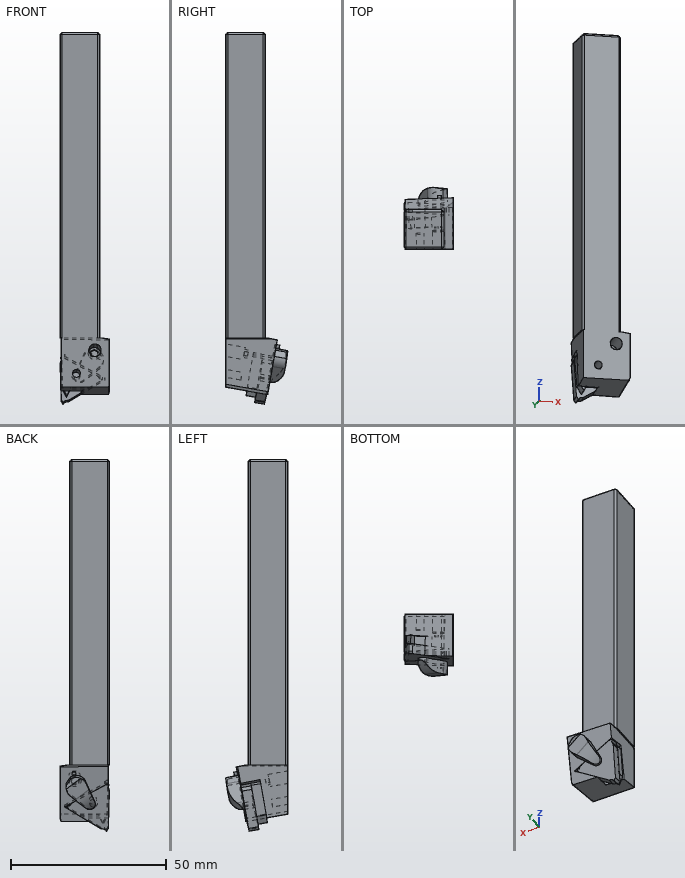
import cadquery as cq
import math

TOTAL_LENGTH = 119.3

SHANK_SIDE = 12.8
SHANK_CHAMFER = 0.7

HEAD_LEFT = 0.4
HEAD_RIGHT = 15.9
HEAD_BOTTOM = 5.5
HEAD_TOP = 21.3
LEDGE = 0.4
BOTTOM_CHAMFER_ACROSS = 1.0
BOTTOM_CHAMFER_UP = 0.4
TRIM_SIDE = 119.3
HEAD_BLOCK_DEPTH = 21.5
SHOULDER_SLOPE_X = 8.5
SHOULDER_SLOPE_Y = 11.0

SEAT_LEAN = 10.0
SEAT_TWIST = 2.0
SEAT_TURN = 1.2
TIP_X = 0.4
TIP_Y = 12.4

INSERT_SIDE = 16.5
INSERT_THICKNESS = 3.2
INSERT_DROP = 0.6
TOOTH_OFFSET = 0.6
TOOTH_ROOT = 1.2
TOOTH_HEIGHT = 0.6
TOOTH_SHOULDER = 1.5
FLAT_END = 2.4

SHIM_THICKNESS = 3.1
POCKET_DEPTH = INSERT_THICKNESS + SHIM_THICKNESS
POCKET_OVERRUN = 1.2
SHIM_TOP_CUT = 1.1
SHIM_SETBACK = 0.4
SHIM_POINT_UP = 1.7
SHIM_POINT_ACROSS = 1.7
SHIM_POINT_HEIGHT = 2.6

SCREW_UP = 14.7
SCREW_ACROSS = 10.7
SCREW_HOLE_DIAMETER = 3.9
SCREW_HOLE_FLOOR = 9.5
SOCKET_DIAMETER = 2.6
SOCKET_DEPTH = 1.2
SHIM_HOLE_DIAMETER = 2.5
SHIM_HOLE_FLOOR = 9.0
SHIM_HOLE_UP = 7.5
SHIM_HOLE_ACROSS = 4.7
HOLE_REACH = 35.8

CLAMP_RADIUS = 3.3
CLAMP_NOSE_RADIUS = 1.7
CLAMP_NOSE_UP = 8.8
CLAMP_NOSE_ACROSS = 6.1
CLAMP_HEIGHT = 4.2
CLAMP_TAIL_DROP = 0.6
CLAMP_NOSE_HEIGHT = 0.7
CLAMP_BROW_REACH = 6.5
CLAMP_BROW_HEIGHT = 3.1
CLAMP_FLAT_OFFSET = 3.1
CLAMP_FLAT_TURN = 57.0

PIN_DIAMETER = 1.3
PIN_UP = 18.6
PIN_ACROSS = 11.6
PIN_HEIGHT = 1.2

seat = cq.Plane(origin=(TIP_X, TIP_Y, 0), xDir=(0, 0, 1), normal=(0, 1, 0))
seat = seat.rotated((SEAT_TWIST, -SEAT_LEAN, -SEAT_TURN))

TRIANGLE_SLOPE = math.tan(math.radians(30))
TRIANGLE_CENTRE = (INSERT_SIDE / 2 - INSERT_DROP, INSERT_SIDE / 2 * TRIANGLE_SLOPE)
TRIANGLE_RIGHT = (TRIANGLE_CENTRE[0], 3 * TRIANGLE_CENTRE[1])


def seat_at(height):
    """Workplane parallel to the rake face at a height above it."""
    return cq.Workplane(seat).workplane(offset=height)


def turned(point, degrees):
    """Turn a seat-plane point about the centre of the triangle."""
    angle = math.radians(degrees)
    up = point[0] - TRIANGLE_CENTRE[0]
    across = point[1] - TRIANGLE_CENTRE[1]
    return (
        TRIANGLE_CENTRE[0] + up * math.cos(angle) - across * math.sin(angle),
        TRIANGLE_CENTRE[1] + up * math.sin(angle) + across * math.cos(angle),
    )


def lower_edge(across):
    """Height of the insert's lower edge at a distance across."""
    return across * TRIANGLE_SLOPE - INSERT_DROP


def upper_edge(across):
    """Height of the pocket's upper wall at a distance across."""
    return INSERT_SIDE - INSERT_DROP - across * TRIANGLE_SLOPE


def make_pocket():
    """Triangular pocket for insert and shim, open beyond the left side of the head."""
    outline = [
        (lower_edge(-POCKET_OVERRUN), -POCKET_OVERRUN),
        (upper_edge(-POCKET_OVERRUN), -POCKET_OVERRUN),
        TRIANGLE_RIGHT,
    ]
    return seat_at(-POCKET_DEPTH).polyline(outline).close().extrude(POCKET_DEPTH)


def make_shank():
    shank = cq.Workplane("XY").workplane(offset=HEAD_TOP)
    shank = shank.rect(SHANK_SIDE, SHANK_SIDE, centered=False).extrude(TOTAL_LENGTH - HEAD_TOP)
    return shank.edges("|Z or >Z").chamfer(SHANK_CHAMFER)


def make_head_block():
    """Head before machining: sloping bottom and two sloping shoulders."""
    ledge_end = SHANK_SIDE + LEDGE
    bottom_drop = HEAD_BLOCK_DEPTH * math.tan(math.radians(SEAT_LEAN))
    drop_y = (HEAD_BLOCK_DEPTH - ledge_end) * math.tan(math.radians(SHOULDER_SLOPE_Y))
    drop_x = (HEAD_RIGHT - ledge_end) * math.tan(math.radians(SHOULDER_SLOPE_X))
    side_profile = (
        cq.Workplane("YZ", origin=(HEAD_LEFT, 0, 0))
        .polyline([
            (0, HEAD_BOTTOM),
            (HEAD_BLOCK_DEPTH, HEAD_BOTTOM - bottom_drop),
            (HEAD_BLOCK_DEPTH, HEAD_TOP - drop_y),
            (ledge_end, HEAD_TOP),
            (0, HEAD_TOP),
        ])
        .close()
        .extrude(HEAD_RIGHT - HEAD_LEFT)
    )
    front_profile = (
        cq.Workplane("XZ")
        .polyline([
            (HEAD_LEFT, 0),
            (HEAD_RIGHT, 0),
            (HEAD_RIGHT, HEAD_TOP - drop_x),
            (ledge_end, HEAD_TOP),
            (HEAD_LEFT, HEAD_TOP),
        ])
        .close()
        .extrude(-HEAD_BLOCK_DEPTH)
    )
    head = side_profile.intersect(front_profile)
    bottom_right = head.faces(">X").edges("<Z").val()
    return head.newObject([head.val().chamfer(BOTTOM_CHAMFER_UP, BOTTOM_CHAMFER_ACROSS, [bottom_right])])


def make_insert():
    """Triangular threading insert with a tooth on each corner."""
    corner_profile = [
        (lower_edge(FLAT_END), FLAT_END),
        (TOOTH_HEIGHT, TOOTH_ROOT),
        (0, TOOTH_OFFSET),
        (TOOTH_SHOULDER - INSERT_DROP, 0),
    ]
    outline = [turned(point, turn) for turn in (0, 120, 240) for point in corner_profile]
    return seat_at(-INSERT_THICKNESS).polyline(outline).close().extrude(INSERT_THICKNESS)


def make_shim():
    """Triangular shim under the insert, pointed below and trimmed at its upper left corner."""
    left = SHIM_SETBACK
    point_top = SHIM_POINT_UP + SHIM_POINT_HEIGHT
    cut_end = left + SHIM_TOP_CUT
    outline = [
        (point_top, left),
        (upper_edge(cut_end) - SHIM_TOP_CUT * TRIANGLE_SLOPE, left),
        (upper_edge(cut_end), cut_end),
        TRIANGLE_RIGHT,
        (point_top, (point_top + INSERT_DROP) / TRIANGLE_SLOPE),
        (point_top, 2 * SHIM_POINT_ACROSS - left),
        (SHIM_POINT_UP, SHIM_POINT_ACROSS),
    ]
    return seat_at(-POCKET_DEPTH).polyline(outline).close().extrude(SHIM_THICKNESS)


def make_clamp():
    """Clamp finger from the screw to its nose, the top falling away towards the nose."""
    up = CLAMP_NOSE_UP - SCREW_UP
    across = CLAMP_NOSE_ACROSS - SCREW_ACROSS
    reach = math.hypot(up, across)
    finger = cq.Plane(
        origin=seat.toWorldCoords((SCREW_UP, SCREW_ACROSS, 0)),
        xDir=seat.toWorldCoords((up, across, 0)) - seat.toWorldCoords((0, 0, 0)),
        normal=seat.zDir,
    )
    taper = (CLAMP_RADIUS - CLAMP_NOSE_RADIUS) / reach
    spread = math.sqrt(1 - taper**2)
    plan = (
        cq.Workplane(finger)
        .moveTo(CLAMP_RADIUS * taper, CLAMP_RADIUS * spread)
        .threePointArc((-CLAMP_RADIUS, 0), (CLAMP_RADIUS * taper, -CLAMP_RADIUS * spread))
        .lineTo(reach + CLAMP_NOSE_RADIUS * taper, -CLAMP_NOSE_RADIUS * spread)
        .threePointArc(
            (reach + CLAMP_NOSE_RADIUS, 0),
            (reach + CLAMP_NOSE_RADIUS * taper, CLAMP_NOSE_RADIUS * spread),
        )
        .close()
        .extrude(CLAMP_HEIGHT)
    )
    nose_end = reach + CLAMP_NOSE_RADIUS
    side = cq.Plane(origin=finger.origin, xDir=finger.xDir, normal=-finger.yDir)
    profile = (
        cq.Workplane(side)
        .moveTo(-CLAMP_RADIUS, 0)
        .lineTo(nose_end, 0)
        .lineTo(nose_end, CLAMP_NOSE_HEIGHT)
        .threePointArc((CLAMP_BROW_REACH, CLAMP_BROW_HEIGHT), (CLAMP_RADIUS / 2, CLAMP_HEIGHT))
        .lineTo(-CLAMP_RADIUS / 2, CLAMP_HEIGHT)
        .lineTo(-CLAMP_RADIUS, CLAMP_HEIGHT - CLAMP_TAIL_DROP)
        .close()
        .extrude(CLAMP_RADIUS, both=True)
    )
    clamp = plan.intersect(profile)
    flat = seat_at(0).center(SCREW_UP, SCREW_ACROSS).transformed(rotate=(0, 0, CLAMP_FLAT_TURN))
    flat = flat.center(CLAMP_FLAT_OFFSET + CLAMP_RADIUS, 0)
    return clamp.cut(flat.rect(2 * CLAMP_RADIUS, 4 * CLAMP_RADIUS).extrude(CLAMP_HEIGHT))


def make_holder():
    holder = make_head_block()

    holder = holder.cut(seat_at(0).rect(TRIM_SIDE, TRIM_SIDE).extrude(HEAD_BLOCK_DEPTH))

    holder = holder.cut(make_pocket())

    screw_hole = seat_at(-SCREW_HOLE_FLOOR).center(SCREW_UP, SCREW_ACROSS)
    holder = holder.cut(screw_hole.circle(SCREW_HOLE_DIAMETER / 2).extrude(-HOLE_REACH))
    holder = holder.cut(screw_hole.polygon(6, SOCKET_DIAMETER).extrude(SOCKET_DEPTH))

    shim_hole = seat_at(-SHIM_HOLE_FLOOR).center(SHIM_HOLE_UP, SHIM_HOLE_ACROSS)
    holder = holder.cut(shim_hole.circle(SHIM_HOLE_DIAMETER / 2).extrude(-HOLE_REACH))

    pin = seat_at(-PIN_HEIGHT).center(PIN_UP, PIN_ACROSS).circle(PIN_DIAMETER / 2).extrude(2 * PIN_HEIGHT)
    return holder.union(make_shank()).union(make_shim()).union(make_clamp()).union(pin)


insert = make_insert()
holder = make_holder().cut(insert)

result = cq.Compound.makeCompound([holder.solids().val(), insert.val()])